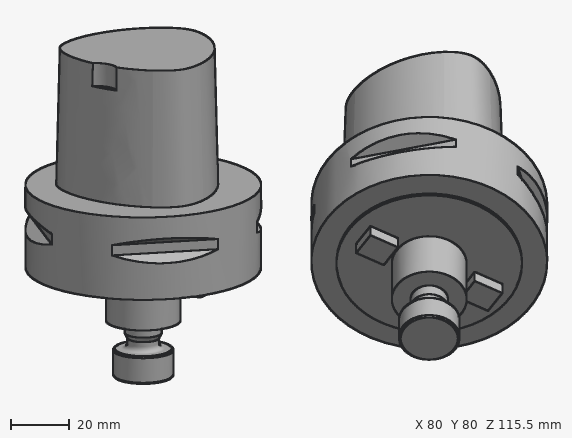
import cadquery as cq
import math

total_height = 115.5
flange_top = 67.6
flange_bottom = 38.5
face_bottom = 37.5
key_bottom = 32.9
sleeve_bottom = 19.8
shank_bottom = 15.4
groove_top = 13.5
groove_bottom = 11.8
head_top = 9.8

flange_diameter = 80.0
face_diameter = 63.0
sleeve_diameter = 25.4
shank_diameter = 12.7
groove_diameter = 10.9
head_diameter = 20.6
head_chamfer = 0.6

mean_diameter = 55.0
lobe_height = 2.1
taper_per_side = 1 / 40
flank_half_angle = 27.0
points_per_face = 9

notch_radius = 6.9
notch_depth = 8.1
notch_inner_y = -22.1

slot_count = 4
slot_center_z = 55.5
slot_floor_width = 3.6
slot_floor_distance = 35.6
slot_wall_angle = 30.0

key_inner_x = 15.1
key_outer_x = 26.0
key_width = 9.5


def lobed_point(angle, mean_radius):
    """Point whose outward normal is at the given angle; one lobe points to +Y."""
    lobe_angle = 3 * (angle - math.pi / 2)
    reach = mean_radius + lobe_height * math.cos(lobe_angle)
    slide = -3 * lobe_height * math.sin(lobe_angle)
    x = reach * math.cos(angle) - slide * math.sin(angle)
    y = reach * math.sin(angle) + slide * math.cos(angle)
    return x, y


def lobed_wire(mean_radius, z):
    """Closed outline of alternating flanks and lobes."""
    limits = []
    for flank_center in (-90, 30, 150):
        limits += [flank_center - flank_half_angle, flank_center + flank_half_angle]
    limits.append(limits[0] + 360)
    edges = []
    for start, end in zip(limits, limits[1:]):
        points = []
        for i in range(points_per_face):
            angle = math.radians(start + (end - start) * i / (points_per_face - 1))
            x, y = lobed_point(angle, mean_radius)
            points.append(cq.Vector(x, y, z))
        edges.append(cq.Edge.makeSpline(points))
    return cq.Wire.assembleEdges(edges)


def tapered_shank():
    base_radius = mean_diameter / 2
    end_radius = base_radius - taper_per_side * (total_height - flange_top)
    wires = [lobed_wire(base_radius, flange_top), lobed_wire(end_radius, total_height)]
    shank = cq.Workplane(cq.Solid.makeLoft(wires, True))
    notch = (
        cq.Workplane("XY", origin=(0, notch_inner_y - notch_radius, total_height - notch_depth))
        .circle(notch_radius)
        .extrude(notch_depth)
    )
    return shank.cut(notch)


def turned_body():
    """Flange, clamping face, sleeve and pull stud revolved about Z."""
    head_radius = head_diameter / 2
    shank_radius = shank_diameter / 2
    groove_radius = groove_diameter / 2
    flare_radius = groove_bottom - head_top
    flare_outer = groove_radius + flare_radius
    flare_offset = flare_radius * math.sqrt(0.5)
    return (
        cq.Workplane("XZ")
        .lineTo(head_radius - head_chamfer, 0)
        .lineTo(head_radius, head_chamfer)
        .lineTo(head_radius, head_top - head_chamfer)
        .lineTo(head_radius - head_chamfer, head_top)
        .lineTo(flare_outer, head_top)
        .threePointArc(
            (flare_outer - flare_offset, groove_bottom - flare_offset),
            (groove_radius, groove_bottom),
        )
        .lineTo(groove_radius, groove_top)
        .lineTo(shank_radius, shank_bottom)
        .lineTo(shank_radius, sleeve_bottom)
        .lineTo(sleeve_diameter / 2, sleeve_bottom)
        .lineTo(sleeve_diameter / 2, face_bottom)
        .lineTo(face_diameter / 2, face_bottom)
        .lineTo(face_diameter / 2, flange_bottom)
        .lineTo(flange_diameter / 2, flange_bottom)
        .lineTo(flange_diameter / 2, flange_top)
        .lineTo(0, flange_top)
        .close()
        .revolve(360, (0, 0), (0, 1))
    )


def gripper_slot(angle):
    """Straight slot with sloping walls, cut across the flange rim."""
    rim_radius = flange_diameter / 2
    floor_half = slot_floor_width / 2
    mouth_half = floor_half + (rim_radius - slot_floor_distance) * math.tan(math.radians(slot_wall_angle))
    return (
        cq.Workplane("XZ")
        .moveTo(slot_floor_distance, slot_center_z - floor_half)
        .lineTo(rim_radius, slot_center_z - mouth_half)
        .lineTo(rim_radius, slot_center_z + mouth_half)
        .lineTo(slot_floor_distance, slot_center_z + floor_half)
        .close()
        .extrude(rim_radius, both=True)
        .rotate((0, 0, 0), (0, 0, 1), angle)
    )


def drive_key(side):
    key_center_x = side * (key_inner_x + key_outer_x) / 2
    return (
        cq.Workplane("XY", origin=(key_center_x, 0, key_bottom))
        .rect(key_outer_x - key_inner_x, key_width)
        .extrude(flange_bottom - key_bottom)
    )


result = turned_body().union(tapered_shank())
slot_spacing = 360 / slot_count
for slot_index in range(slot_count):
    result = result.cut(gripper_slot((slot_index + 0.5) * slot_spacing))
for key_side in (-1, 1):
    result = result.union(drive_key(key_side))